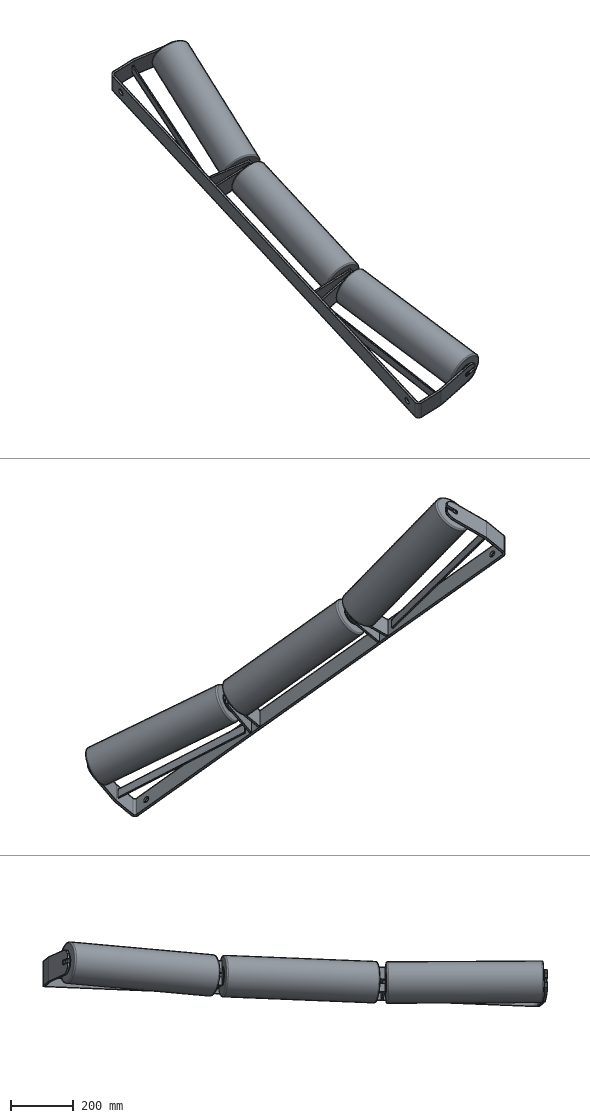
import cadquery as cq
import math


trough_angle = 10.0
frame_length = 1620.0
frame_half = frame_length / 2
frame_thickness = 7.3
strip_width = 80.0
strip_centre_z = 2.5
strip_bottom = strip_centre_z - strip_width / 2
arm_bend_height = 94.0
arm_length = 157.0
frame_corner_radius = 15.0
mount_slot_height = 25.0
mount_slot_width = 20.0
mount_slot_inset = 57.0

forward_tilt = 0.75
roller_length = 500.0
roller_diameter = 133.0
roller_edge_radius = 5.0
hub_diameter = 62.0
hub_length = 3.0
shaft_diameter = 18.0
shaft_flats = 15.0
shaft_overhang = 10.0
slot_reach = 20.0
slot_depth = 65.0
middle_roller_height = 126.0
middle_roller_z = -3.0
wing_roller_x = -530.0
wing_roller_height = 172.0
wing_roller_z = 0.0

bracket_thickness = 6.0
bracket_height = 150.0
bracket_straight_leg_x = 256.8
bracket_sloped_foot_x = 301.0

brace_top_height = 83.0
brace_foot_x = 320.0
brace_thickness = 5.0
brace_width = strip_width / 2
brace_bottom = strip_centre_z - brace_width / 2


def mitre(before, point, after):
    """Offset direction at a path point, to the left of the path, for a unit offset."""
    normals = []
    for start, end in ((before, point), (point, after)):
        if start != end:
            step = (cq.Vector(*end) - cq.Vector(*start)).normalized()
            normals.append(cq.Vector(-step.y, step.x))
    first, last = normals[0], normals[-1]
    return (first + last) / (1 + first.dot(last))


def bent_strip(path, thickness, width=strip_width, bottom=strip_bottom):
    """Flat strip bent along a path in XY, with its thickness to the left of the path."""
    befores = path[:1] + path[:-1]
    afters = path[1:] + path[-1:]
    inner = []
    for before, point, after in zip(befores, path, afters):
        corner = cq.Vector(*point) + mitre(before, point, after) * thickness
        inner.append((corner.x, corner.y))
    return (
        cq.Workplane("XY", origin=(0, 0, bottom))
        .polyline(path + inner[::-1])
        .close()
        .extrude(width)
    )


def mirrored(body):
    """The matching body on the right."""
    return body.mirror("YZ")


def in_wing(body, tilt=forward_tilt):
    """Move a body from a roller's own axes (X along its axis) to the left wing position."""
    return (
        body.rotate((0, 0, 0), (0, 1, 0), tilt)
        .rotate((0, 0, 0), (0, 0, 1), -trough_angle)
        .translate((wing_roller_x, wing_roller_height, wing_roller_z))
    )


def in_middle(body):
    return body.translate((0, middle_roller_height, middle_roller_z))


def along_axis(diameter, length):
    return cq.Workplane("YZ", origin=(-length / 2, 0, 0)).circle(diameter / 2).extrude(length)


def flatted_shaft(length):
    flats = cq.Workplane("XY").box(length, shaft_diameter, shaft_flats)
    return along_axis(shaft_diameter, length).intersect(flats)


def make_roller():
    shell = along_axis(roller_diameter, roller_length).edges().fillet(roller_edge_radius)
    hubs = along_axis(hub_diameter, roller_length + 2 * hub_length)
    return shell.union(hubs).union(flatted_shaft(roller_length + 2 * shaft_overhang))


def make_slots():
    """Open-topped slots that take both shaft ends of one roller."""
    length = roller_length + 2 * slot_reach
    opening = cq.Workplane("XY").box(length, slot_depth, shaft_flats).translate((0, slot_depth / 2, 0))
    return opening.union(flatted_shaft(length))


def make_tip_trim():
    """Waste outside an arc about the shaft, which rounds the corners of the left arm's tip."""
    length = 2 * slot_reach
    corners = cq.Workplane("XY").box(length, strip_width, 2 * strip_width).translate((0, strip_width / 2, 0))
    trim = corners.cut(along_axis(strip_width, length))
    outer_end = -(roller_length / 2 + slot_reach)
    return in_wing(trim.translate((outer_end, 0, strip_centre_z)), tilt=0)


def round_base_corners(frame):
    for side in (-1, 1):
        outer_corner = (side * frame_half, 0, strip_centre_z)
        inner_corner = (side * (frame_half - frame_thickness), frame_thickness, strip_centre_z)
        outer_edge = cq.selectors.NearestToPointSelector(outer_corner)
        inner_edge = cq.selectors.NearestToPointSelector(inner_corner)
        frame = frame.edges(outer_edge).fillet(frame_corner_radius)
        frame = frame.edges(inner_edge).fillet(frame_corner_radius - frame_thickness)
    return frame


def make_mount_slots():
    slot_x = frame_half - mount_slot_inset
    return (
        cq.Workplane("XZ", origin=(0, 0, strip_centre_z))
        .pushPoints([(-slot_x, 0), (slot_x, 0)])
        .slot2D(mount_slot_height, mount_slot_width, 90)
        .extrude(-frame_thickness)
    )


def make_frame():
    angle = math.radians(trough_angle)
    tip_x = frame_half - arm_length * math.sin(angle)
    tip_y = arm_bend_height + arm_length * math.cos(angle)
    path = [
        (-tip_x, tip_y),
        (-frame_half, arm_bend_height),
        (-frame_half, 0),
        (frame_half, 0),
        (frame_half, arm_bend_height),
        (tip_x, tip_y),
    ]
    frame = round_base_corners(bent_strip(path, frame_thickness))
    frame = frame.cut(make_mount_slots())
    for waste in (make_tip_trim(), in_wing(make_slots())):
        frame = frame.cut(waste).cut(mirrored(waste))
    return frame


def make_bracket():
    """Left bracket: a sloped leg for the wing roller and a straight leg for the middle one."""
    sloped_run = bracket_height * math.tan(math.radians(trough_angle))
    path = [
        (-bracket_straight_leg_x, 0),
        (-bracket_straight_leg_x, bracket_height),
        (-bracket_sloped_foot_x + sloped_run, bracket_height),
        (-bracket_sloped_foot_x, 0),
    ]
    below_base_face = cq.Workplane("XY").box(frame_length, 2 * frame_thickness, 2 * strip_width)
    return (
        bent_strip(path, bracket_thickness)
        .cut(below_base_face)
        .cut(in_wing(make_slots()))
        .cut(in_middle(make_slots()))
    )


def make_brace():
    """Left brace, a straight strip from the outer arm down to the base."""
    path = [
        (-frame_half + frame_thickness, brace_top_height),
        (-brace_foot_x, frame_thickness),
    ]
    return bent_strip(path, brace_thickness, brace_width, brace_bottom)


frame = make_frame()
middle_roller = in_middle(make_roller())

wing_roller = in_wing(make_roller())
bracket = make_bracket()
brace = make_brace()

bodies = [frame, middle_roller]
for left_body in (wing_roller, bracket, brace):
    bodies += [left_body, mirrored(left_body)]

result = cq.Compound.makeCompound([body.val() for body in bodies])